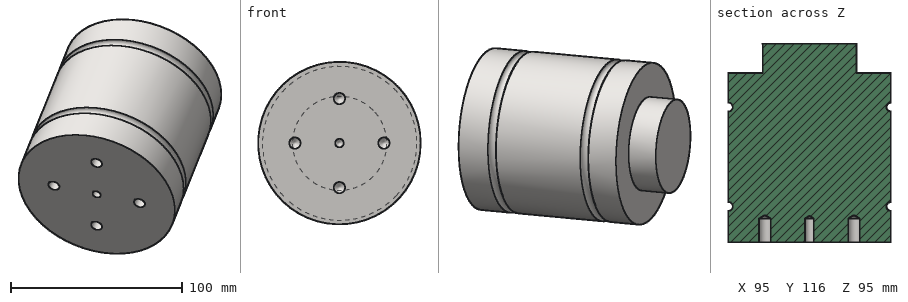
import cadquery as cq
import math

total_length = 116.0
body_diameter = 95.0
boss_diameter = 55.0
boss_length = 17.0
body_length = total_length - boss_length
front_y = -total_length / 2
body_radius = body_diameter / 2

groove_width = 5.0
groove_distances = (21.0, 79.0)

center_hole_diameter = 5.0
outer_hole_diameter = 6.6
hole_depth = 13.9
outer_hole_count = 4
outer_hole_circle_radius = 26.0
drill_point_angle = 118.0


def cylinder_along_y(diameter, start_y, length):
    """Solid cylinder on the Y axis, growing toward +Y."""
    plane = cq.Plane(origin=(0, start_y, 0), xDir=(1, 0, 0), normal=(0, 1, 0))
    return cq.Workplane(plane).circle(diameter / 2).extrude(length)


def groove_ring(distance):
    """Ring that cuts one half-round groove."""
    return (
        cq.Workplane("XY")
        .center(body_radius, front_y + distance)
        .circle(groove_width / 2)
        .revolve(360, (-body_radius, 0), (-body_radius, 1))
    )


def drilled_hole(x, z, diameter):
    """Blind drilled hole, entering from the front face."""
    radius = diameter / 2
    tip_length = radius / math.tan(math.radians(drill_point_angle / 2))
    profile = (
        cq.Workplane("XY")
        .polyline([
            (0, 0),
            (radius, 0),
            (radius, hole_depth),
            (0, hole_depth + tip_length),
        ])
        .close()
    )
    return profile.revolve(360, (0, 0), (0, 1)).translate((x, front_y, z))


result = cylinder_along_y(body_diameter, front_y, body_length)
result = result.union(cylinder_along_y(boss_diameter, front_y + body_length, boss_length))

for groove_distance in groove_distances:
    result = result.cut(groove_ring(groove_distance))

result = result.cut(drilled_hole(0, 0, center_hole_diameter))
for index in range(outer_hole_count):
    angle = 2 * math.pi * index / outer_hole_count
    hole_x = outer_hole_circle_radius * math.cos(angle)
    hole_z = outer_hole_circle_radius * math.sin(angle)
    result = result.cut(drilled_hole(hole_x, hole_z, outer_hole_diameter))